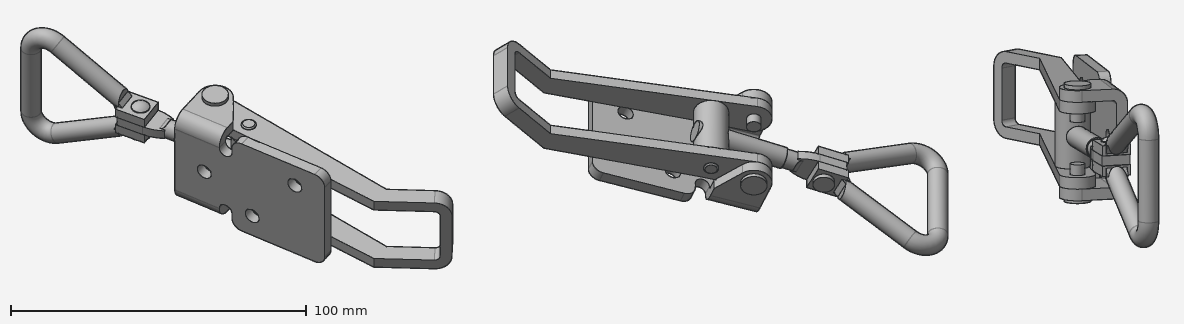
import cadquery as cq
import math


sheet = 4.0
pivot_y = 16.0
ear_radius = 6.2
ear_outer = 19.0
ear_inner = ear_outer - sheet
ear_end = 11.6
ear_shoulder_y = 8.8
bend_radius = 5.2
plate_end = 53.7
plate_half_width = 19.8
plate_corner_radius = 4.0
notch_radius = 2.5
notch_center_z = 13.6
plate_hole_diameter = 5.5
screw_hole_z = 11.0
plate_holes = [(5.7, 0), (24.8, -screw_hole_z), (41.7, screw_hole_z)]

rivet_radius = 2.5
rivet_head_radius = 4.5
rivet_head_end = 20.3
rivet_tip = 7.3

lever_outer = ear_inner
lever_inner = lever_outer - sheet
knee_top = (71.3, 11.1)
knee_bottom = (71.0, 3.7)
heel_bottom = (17.1, 8.6)
grip_angle = 29.7
grip_end = (94.0, 16.8)
grip_corner_radius = 6.0

trunnion_x = 14.6
trunnion_y = 14.0
barrel_radius = 6.0
journal_diameter = 5.2
journal_radius = journal_diameter / 2
journal_end = lever_outer + 0.7
journal_chamfer = 0.5

linkage_tilt = 3.7
rod_diameter = 7.5
rod_radius = rod_diameter / 2
neck_radius = 3.3
neck_end = -26.6
tongue_thickness = 3.5
tongue_half = tongue_thickness / 2
tongue_start = -47.9
tongue_flat_end = -38.1
flare_start = -32.6
flare_radius = 2.0
cheek_start = -48.5
cheek_end = -37.5
cheek_height = 10.0
cheek_outer = 5.3
pin_x = -41.5
pin_radius = 3.2
pin_head_radius = 3.7
pin_head_height = 1.5
rim_height = 0.3
dome_height = 1.2

wire_radius = 3.5
bail_left = -87.1
bail_width = 49.0
bail_half_width = bail_width / 2
bail_bend_radius = 6.8
leg_angle = 29.4
wire_end = -48.2
wedge_length = 1.5
wedge_height = 1.7
gusset_length = 1.2
gusset_height = 7.5
gusset_root = 2.5


def prism(outline, z_low, z_high):
    """Closed XY outline swept from z_low to z_high."""
    return outline.extrude(z_high - z_low).translate((0, 0, z_low))


def z_cylinder(x, y, radius, z_low, z_high):
    return prism(cq.Workplane("XY").center(x, y).circle(radius), z_low, z_high)


def x_cylinder(radius, x_low, x_high):
    return cq.Workplane("YZ").circle(radius).extrude(x_high - x_low).translate((x_low, 0, 0))


def block(x_low, x_high, y_size, z_low, z_high):
    """Box centred on y = 0."""
    return (
        cq.Workplane("XY")
        .box(x_high - x_low, y_size, z_high - z_low)
        .translate(((x_low + x_high) / 2, 0, (z_low + z_high) / 2))
    )


def mirrored_pair(shape):
    """A shape together with its mirror image in z = 0."""
    return shape.union(shape.mirror("XY"))


def place_linkage(shape):
    """Move a linkage part onto the trunnion and tilt it."""
    return shape.rotate((0, 0, 0), (0, 0, 1), linkage_tilt).translate((trunnion_x, trunnion_y, 0))


def on_pivot_circle(angle):
    """Point on the rounded end shared by the ears and the lever arms."""
    return (ear_radius * math.cos(angle), pivot_y + ear_radius * math.sin(angle))


def tangent_angle(point, turn):
    """Angle on the pivot circle where the tangent through a point touches; turn is +1 or -1."""
    dx = point[0]
    dy = point[1] - pivot_y
    return math.atan2(dy, dx) + turn * math.acos(ear_radius / math.hypot(dx, dy))


def make_bracket():
    channel = (
        cq.Workplane("XY")
        .box(ear_end + ear_radius, pivot_y + ear_radius, 2 * ear_outer, centered=(False, False, True))
        .translate((-ear_radius, 0, 0))
        .edges("|X and <Y")
        .fillet(bend_radius)
    )
    inside = (
        cq.Workplane("XY")
        .box(ear_end + ear_radius, pivot_y + ear_radius, 2 * ear_inner, centered=(False, False, True))
        .translate((-ear_radius, sheet, 0))
        .edges("|X and <Y")
        .fillet(bend_radius - sheet)
    )
    tangent = tangent_angle((ear_end, ear_shoulder_y), 1)
    ear_outline = (
        cq.Workplane("XY")
        .moveTo(-ear_radius, 0)
        .lineTo(-ear_radius, pivot_y)
        .threePointArc(on_pivot_circle(math.pi / 2), on_pivot_circle(tangent))
        .lineTo(ear_end, ear_shoulder_y)
        .lineTo(ear_end, 0)
        .close()
    )
    ears = channel.cut(inside).intersect(prism(ear_outline, -ear_outer, ear_outer))

    wide_start = ear_end + 2 * notch_radius
    wide = (
        block(wide_start, plate_end, sheet, -plate_half_width, plate_half_width)
        .edges("|Y")
        .fillet(plate_corner_radius)
    )
    web = block(ear_end, wide_start + plate_corner_radius, sheet, -notch_center_z, notch_center_z)
    notches = (
        cq.Workplane("XZ")
        .pushPoints([(ear_end + notch_radius, side * notch_center_z) for side in (-1, 1)])
        .circle(notch_radius)
        .extrude(sheet, both=True)
    )
    holes = (
        cq.Workplane("XZ")
        .pushPoints(plate_holes)
        .circle(plate_hole_diameter / 2)
        .extrude(sheet, both=True)
    )
    plate = wide.union(web).translate((0, sheet / 2, 0))
    pivot_holes = z_cylinder(0, pivot_y, rivet_radius, -ear_outer, ear_outer)
    return ears.union(plate).cut(notches).cut(holes).cut(pivot_holes)


def make_rivet(side):
    shank = z_cylinder(0, pivot_y, rivet_radius, rivet_tip, ear_outer)
    head = z_cylinder(0, pivot_y, rivet_head_radius, ear_outer, rivet_head_end)
    rivet = shank.union(head)
    return rivet if side > 0 else rivet.mirror("XY")


def make_lever():
    tilt = math.radians(grip_angle)
    across = (-math.sin(tilt), math.cos(tilt))
    depth = (knee_top[0] - grip_end[0]) * across[0] + (knee_top[1] - grip_end[1]) * across[1]
    grip_top = (grip_end[0] + depth * across[0], grip_end[1] + depth * across[1])
    upper = tangent_angle(knee_top, 1)
    lower = tangent_angle(heel_bottom, -1)
    outline = (
        cq.Workplane("XY")
        .moveTo(*on_pivot_circle(upper))
        .threePointArc((-ear_radius, pivot_y), on_pivot_circle(lower))
        .lineTo(*heel_bottom)
        .lineTo(*knee_bottom)
        .lineTo(*grip_end)
        .lineTo(*grip_top)
        .lineTo(*knee_top)
        .close()
    )
    lever = prism(outline, -lever_outer, lever_outer)

    grip_middle = ((grip_end[0] + grip_top[0]) / 2, (grip_end[1] + grip_top[1]) / 2)
    for side in (-1, 1):
        corner = (*grip_middle, side * lever_outer)
        lever = lever.edges(cq.selectors.NearestToPointSelector(corner)).fillet(grip_corner_radius)
    hollow_length = 2 * grip_end[0]
    hollow = (
        cq.Workplane("XY")
        .box(hollow_length, hollow_length, 2 * lever_inner)
        .edges("|Y and >X")
        .fillet(grip_corner_radius - sheet)
        .translate((-hollow_length / 2 - sheet, 0, 0))
        .rotate((0, 0, 0), (0, 0, 1), grip_angle)
        .translate((*grip_end, 0))
    )
    pivot_holes = z_cylinder(0, pivot_y, rivet_radius, -lever_outer, lever_outer)
    journal_holes = z_cylinder(trunnion_x, trunnion_y, journal_radius, -lever_outer, lever_outer)
    return lever.cut(hollow).cut(pivot_holes).cut(journal_holes)


def make_trunnion():
    journals = (
        z_cylinder(0, 0, journal_radius, -journal_end, journal_end).faces("|Z").chamfer(journal_chamfer)
    )
    barrel = z_cylinder(0, 0, barrel_radius, -lever_inner, lever_inner)
    rod_hole = x_cylinder(rod_radius, -barrel_radius, barrel_radius)
    return place_linkage(journals.union(barrel).cut(rod_hole))


def make_rod():
    shank = x_cylinder(rod_radius, neck_end, barrel_radius)

    flare_center_z = tongue_half + flare_radius
    flare_sweep = math.acos((flare_center_z - neck_radius) / flare_radius)

    def on_flare(angle, side):
        return (
            flare_start + flare_radius * math.sin(angle),
            side * (flare_center_z - flare_radius * math.cos(angle)),
        )

    tongue_tip = on_flare(flare_sweep, 1)[0]
    flare = (
        cq.Workplane("XZ")
        .moveTo(flare_start, -tongue_half)
        .lineTo(flare_start, tongue_half)
        .threePointArc(on_flare(flare_sweep / 2, 1), on_flare(flare_sweep, 1))
        .lineTo(neck_end, neck_radius)
        .lineTo(neck_end, -neck_radius)
        .lineTo(tongue_tip, -neck_radius)
        .threePointArc(on_flare(flare_sweep / 2, -1), on_flare(0, -1))
        .close()
        .extrude(neck_radius, both=True)
    )
    neck = x_cylinder(neck_radius, flare_start, neck_end).intersect(flare)

    half_height = cheek_height / 2
    run = tongue_tip - tongue_flat_end
    drop = half_height - neck_radius
    taper_radius = (run**2 + drop**2) / (2 * drop)
    mid_x = tongue_flat_end + run / 2
    mid_y = half_height - taper_radius + math.sqrt(taper_radius**2 - (run / 2) ** 2)
    tongue_outline = (
        cq.Workplane("XY")
        .moveTo(tongue_start, -half_height)
        .lineTo(tongue_start, half_height)
        .lineTo(tongue_flat_end, half_height)
        .threePointArc((mid_x, mid_y), (tongue_tip, neck_radius))
        .lineTo(tongue_tip, -neck_radius)
        .threePointArc((mid_x, -mid_y), (tongue_flat_end, -half_height))
        .close()
    )
    tongue = prism(tongue_outline, -tongue_half, tongue_half)
    pin_hole = z_cylinder(pin_x, 0, pin_radius, -tongue_half, tongue_half)
    return place_linkage(shank.union(neck).union(tongue).cut(pin_hole))


def make_bail():
    back_x = bail_left + wire_radius
    bend_x = back_x + bail_bend_radius
    bend_z = bail_half_width - wire_radius - bail_bend_radius
    slope = math.radians(leg_angle)

    def on_bend(angle, side):
        return (
            bend_x + bail_bend_radius * math.cos(angle),
            side * (bend_z + bail_bend_radius * math.sin(angle)),
        )

    bend_end = math.pi / 2 - slope
    bend_middle = (math.pi + bend_end) / 2
    leg_x, leg_z = on_bend(bend_end, 1)
    leg_reach = wire_end + wire_radius - leg_x
    leg_tip_z = leg_z - leg_reach * math.tan(slope)
    path = (
        cq.Workplane("XZ")
        .moveTo(leg_x + leg_reach, -leg_tip_z)
        .lineTo(leg_x, -leg_z)
        .threePointArc(on_bend(bend_middle, -1), (back_x, -bend_z))
        .lineTo(back_x, bend_z)
        .threePointArc(on_bend(bend_middle, 1), (leg_x, leg_z))
        .lineTo(leg_x + leg_reach, leg_tip_z)
    )
    start = cq.Plane(
        origin=(leg_x + leg_reach, 0, -leg_tip_z),
        xDir=(0, 1, 0),
        normal=(-math.cos(slope), 0, -math.sin(slope)),
    )
    wire = cq.Workplane(start).circle(wire_radius).sweep(path)
    trim = block(wire_end, cheek_end, cheek_height, -bail_half_width, bail_half_width)

    cheek = block(cheek_start, cheek_end, cheek_height, tongue_half, cheek_outer)
    gusset = (
        cq.Workplane("XZ")
        .moveTo(cheek_start, gusset_root)
        .lineTo(cheek_start, cheek_outer)
        .lineTo(cheek_start - gusset_length, cheek_outer)
        .close()
        .extrude(gusset_height / 2, both=True)
    )
    wedge = (
        cq.Workplane("XZ")
        .moveTo(wire_end, cheek_outer)
        .lineTo(wire_end, cheek_outer + wedge_height)
        .lineTo(wire_end + wedge_length, cheek_outer)
        .close()
        .extrude(wire_radius, both=True)
    )
    cheeks = mirrored_pair(cheek.union(gusset).union(wedge))
    tongue_slot = block(cheek_start - cheek_height, cheek_end, cheek_height, -tongue_half, tongue_half)
    pin_hole = z_cylinder(pin_x, 0, pin_radius, -cheek_outer, cheek_outer)
    return place_linkage(wire.cut(trim).union(cheeks).cut(tongue_slot).cut(pin_hole))


def make_clevis_pin():
    head_end = -cheek_outer - pin_head_height
    rim = cheek_outer + rim_height
    peak = rim + dome_height
    dome_radius = (pin_radius**2 + dome_height**2) / (2 * dome_height)
    mid_x = pin_radius / 2
    mid_z = peak - dome_radius + math.sqrt(dome_radius**2 - mid_x**2)
    pin = (
        cq.Workplane("XZ")
        .moveTo(0, head_end)
        .lineTo(pin_head_radius, head_end)
        .lineTo(pin_head_radius, -cheek_outer)
        .lineTo(pin_radius, -cheek_outer)
        .lineTo(pin_radius, rim)
        .threePointArc((mid_x, mid_z), (0, peak))
        .close()
        .revolve(360, (0, 0, 0), (0, 1, 0))
    )
    return place_linkage(pin.translate((pin_x, 0, 0)))


bracket = make_bracket()
lever = make_lever()
rivets = [make_rivet(side) for side in (-1, 1)]
trunnion = make_trunnion()
rod = make_rod()
bail = make_bail()
clevis_pin = make_clevis_pin()

result = cq.Compound.makeCompound([
    bracket.val(),
    lever.val(),
    *[rivet.val() for rivet in rivets],
    trunnion.val(),
    rod.val(),
    bail.val(),
    clevis_pin.val(),
])